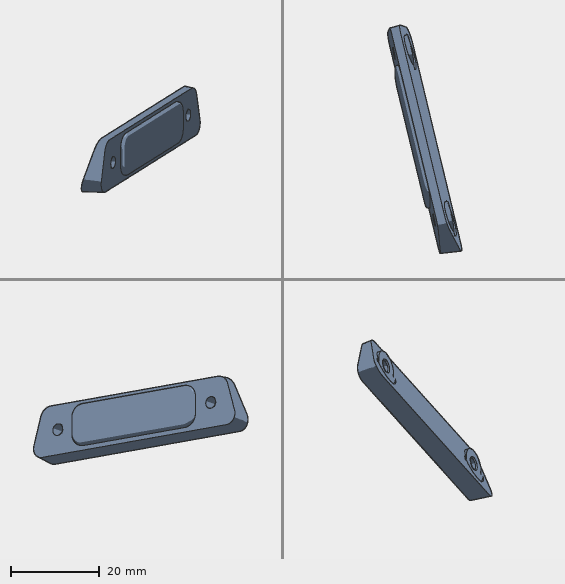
import cadquery as cq
import math

total_depth = 6.05
length = 56.2
height = 12.3
pad_thickness = 0.8
back_x = total_depth - pad_thickness
face_tilt = 15.0
draft = 5.0
end_slope = 16.2
lower_corner_radius = 2.35
upper_corner_radius = 2.9

seat_spacing = 42.05
seat_z = 6.3
seat_x = 1.45
boss_radius = 3.55
pocket_radius = 4.5
hole_diameter = 2.7
hole_chamfer = 0.3

pad_length = 33.7
pad_height = 9.8
pad_z = 6.4
pad_corner_radius = 2.9
pad_edge_fillet = 0.55

face_slope = math.tan(math.radians(face_tilt))
draft_slope = math.tan(math.radians(draft))
end_lean = math.radians(end_slope)
top_front_x = height * face_slope

rear_bottom = back_x * draft_slope
rear_top = height - (back_x - top_front_x) * draft_slope
widest_x = (rear_bottom + lower_corner_radius) * face_slope
rear_half_length = length / 2 - (back_x - widest_x) * draft_slope


def x_cylinder(radius, y, x_start, x_end):
    """Cylinder along X at the height of the screw seats."""
    return (
        cq.Workplane("YZ", origin=(x_start, y, seat_z))
        .circle(radius)
        .extrude(x_end - x_start)
    )


def drafted_blank():
    """Rounded trapezoid at the rear face, widening towards the front."""
    corner_reach = lower_corner_radius * (1 / math.cos(end_lean) - 1)
    corner_z = rear_bottom + lower_corner_radius

    def end_y(z):
        return rear_half_length + corner_reach - (z - corner_z) * math.tan(end_lean)

    bottom_y = end_y(rear_bottom)
    top_y = end_y(rear_top)
    outline = (
        cq.Sketch()
        .polygon([
            (bottom_y, rear_bottom),
            (top_y, rear_top),
            (-top_y, rear_top),
            (-bottom_y, rear_bottom),
            (bottom_y, rear_bottom),
        ])
        .vertices("<Y")
        .fillet(lower_corner_radius)
        .reset()
        .vertices(">Y")
        .fillet(upper_corner_radius)
    )
    return (
        cq.Workplane("YZ", origin=(back_x, 0, 0))
        .placeSketch(outline)
        .extrude(-back_x, taper=-draft)
    )


def behind_front_face():
    """Space behind the tilted front face."""
    return (
        cq.Workplane("XZ")
        .polyline([(0, 0), (back_x, 0), (back_x, height), (top_front_x, height)])
        .close()
        .extrude(length, both=True)
    )


def rear_pad():
    return (
        cq.Workplane("YZ", origin=(back_x, 0, pad_z))
        .rect(pad_length, pad_height)
        .extrude(pad_thickness)
        .edges("|X")
        .fillet(pad_corner_radius)
        .faces(">X")
        .edges()
        .fillet(pad_edge_fillet)
    )


def add_screw_seat(body, y):
    """Flat seat: a boss above, a pocket below, and a chamfered through hole."""
    pocket = x_cylinder(pocket_radius, y, 0, seat_x)
    boss = x_cylinder(boss_radius, y, seat_x, back_x)
    hole = x_cylinder(hole_diameter / 2, y, 0, back_x)
    countersink = (
        cq.Workplane("YZ", origin=(seat_x, y, seat_z))
        .circle(hole_diameter / 2 + hole_chamfer)
        .extrude(hole_chamfer, taper=45)
    )
    return body.cut(pocket).union(boss).cut(hole).cut(countersink)


result = drafted_blank().intersect(behind_front_face()).union(rear_pad())
for side in (-1, 1):
    result = add_screw_seat(result, side * seat_spacing / 2)